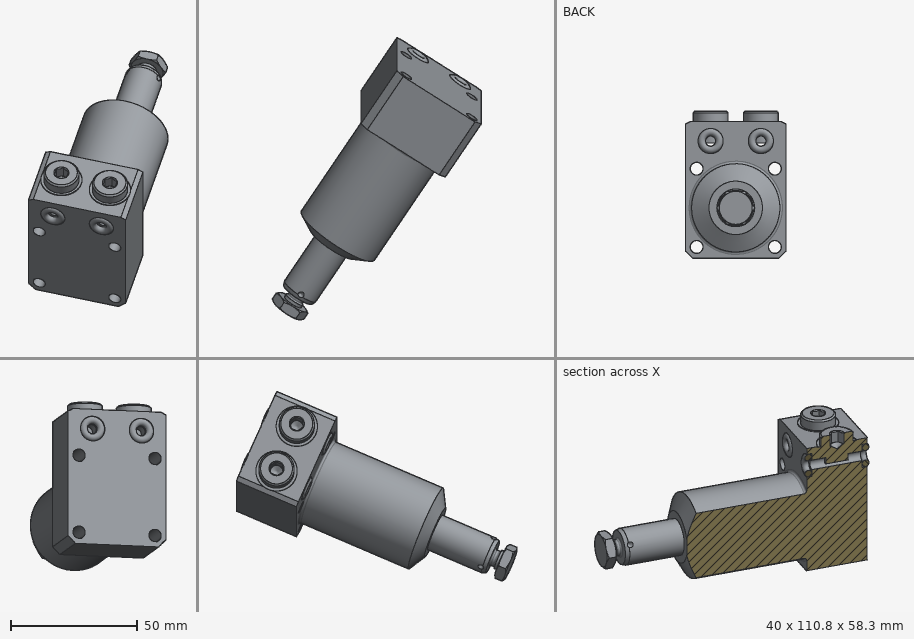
import cadquery as cq
import math


BLOCK_WIDTH = 40.0
BLOCK_DEPTH = 26.0
BLOCK_TOP = 34.2
BLOCK_BOTTOM = -20.0
BOTTOM_CHAMFER = 3.0
TOP_CHAMFER_WIDTH = 2.0
TOP_CHAMFER_HEIGHT = 1.0
MOUNT_HOLE_OFFSET = 15.5
MOUNT_HOLE_DIAMETER = 5.0

BARREL_RADIUS = 17.5
BARREL_ROOT_FILLET = 1.0
BARREL_LENGTH = 51.3
CONE_LENGTH = 4.0
CONE_HALF_ANGLE = 60
TUBE_DIAMETER = 15.0
TUBE_END = 76.2
TUBE_CHAMFER_LENGTH = 1.7
TUBE_CHAMFER_DEPTH = 0.5
DIMPLE_DIAMETER = 2.5
DIMPLE_INSET = 2.2
DIMPLE_ANGLES = (30, 150, 270)

SCREW_END = 84.0
HEAD_HEIGHT = 4.0
HEAD_ACROSS_FLATS = 13.1
HEAD_CORNER_SLOPE = 30
COLLAR_RADIUS = 4.0
COLLAR_LENGTH = 1.3
NECK_FILLET = 0.7

PORT_OFFSET = 10.0
PORT_HEIGHT = 26.5
RING_OUTER_RADIUS = 5.0
RING_SECTION_DIAMETER = 3.0
RING_PROTRUSION = 0.8
PLUG_HEAD_RADIUS = 7.0
PLUG_HEAD_CHAMFER = 0.7
PLUG_PROTRUSION = 4.1
PLUG_LENGTH = 12.6
PLUG_SHANK_RADIUS = 4.9
SPOTFACE_RADIUS = 8.2
SPOTFACE_DEPTH = 0.3
SOCKET_ACROSS_FLATS = 5.0
SOCKET_DEPTH = 5.0
SOCKET_ROTATION = 30
SOCKET_POINT_HEIGHT = 1.7
SOCKET_MOUTH_RADIUS = 3.0

TUBE_RADIUS = TUBE_DIAMETER / 2
NECK_RADIUS = COLLAR_RADIUS - NECK_FILLET
HEX_SIDES = 6
HEX_CORNER_RATIO = 1 / math.cos(math.pi / HEX_SIDES)
FILLET_MIDPOINT = 1 - math.sqrt(0.5)
RING_SECTION_RADIUS = RING_SECTION_DIAMETER / 2
PASSAGE_RADIUS = RING_OUTER_RADIUS - RING_SECTION_DIAMETER
RING_SEAT_DEPTH = RING_SECTION_DIAMETER - RING_PROTRUSION
PORT_XS = (-PORT_OFFSET, PORT_OFFSET)


def y_cylinder(x, z, y_start, y_end, radius):
    """Cylinder parallel to Y between two Y positions."""
    axis = cq.Vector(0, 1, 0)
    return cq.Workplane(cq.Solid.makeCylinder(radius, y_end - y_start, cq.Vector(x, y_start, z), axis))


def make_block():
    """Connection block with chamfered edges and four mounting holes."""
    half = BLOCK_WIDTH / 2
    right_side = [
        (half - BOTTOM_CHAMFER, BLOCK_BOTTOM),
        (half, BLOCK_BOTTOM + BOTTOM_CHAMFER),
        (half, BLOCK_TOP - TOP_CHAMFER_HEIGHT),
        (half - TOP_CHAMFER_WIDTH, BLOCK_TOP),
    ]
    left_side = [(-x, z) for x, z in reversed(right_side)]
    block = cq.Workplane("XZ").polyline(right_side + left_side).close().extrude(BLOCK_DEPTH)
    for x in (-MOUNT_HOLE_OFFSET, MOUNT_HOLE_OFFSET):
        for z in (-MOUNT_HOLE_OFFSET, MOUNT_HOLE_OFFSET):
            block = block.cut(y_cylinder(x, z, -BLOCK_DEPTH, 0, MOUNT_HOLE_DIAMETER / 2))
    return block


def make_turned_body():
    """Barrel, adjuster tube, screw neck and collar, revolved around the Y axis."""
    cone_end_radius = BARREL_RADIUS - CONE_LENGTH * math.tan(math.radians(CONE_HALF_ANGLE))
    head_base = SCREW_END - HEAD_HEIGHT
    collar_end = head_base - COLLAR_LENGTH
    root_mid = BARREL_ROOT_FILLET * FILLET_MIDPOINT
    neck_mid = NECK_FILLET * FILLET_MIDPOINT
    body = (
        cq.Workplane("XY")
        .lineTo(BARREL_RADIUS + BARREL_ROOT_FILLET, 0)
        .threePointArc((BARREL_RADIUS + root_mid, root_mid), (BARREL_RADIUS, BARREL_ROOT_FILLET))
        .lineTo(BARREL_RADIUS, BARREL_LENGTH - CONE_LENGTH)
        .lineTo(cone_end_radius, BARREL_LENGTH)
        .lineTo(TUBE_RADIUS, BARREL_LENGTH)
        .lineTo(TUBE_RADIUS, TUBE_END - TUBE_CHAMFER_LENGTH)
        .lineTo(TUBE_RADIUS - TUBE_CHAMFER_DEPTH, TUBE_END)
        .lineTo(COLLAR_RADIUS, TUBE_END)
        .threePointArc((NECK_RADIUS + neck_mid, TUBE_END + neck_mid), (NECK_RADIUS, TUBE_END + NECK_FILLET))
        .lineTo(NECK_RADIUS, collar_end - NECK_FILLET)
        .threePointArc((NECK_RADIUS + neck_mid, collar_end - neck_mid), (COLLAR_RADIUS, collar_end))
        .lineTo(COLLAR_RADIUS, head_base)
        .lineTo(0, head_base)
        .close()
        .revolve(360, (0, 0, 0), (0, 1, 0))
    )
    return body.cut(make_dimples())


def make_dimples():
    """Radial 90-degree conical dimples around the free end of the adjuster tube."""
    depth = DIMPLE_DIAMETER / 2
    dimples = cq.Workplane("XY")
    for angle in DIMPLE_ANGLES:
        inward = cq.Vector(-math.cos(math.radians(angle)), 0, -math.sin(math.radians(angle)))
        start = inward * -(TUBE_RADIUS + depth) + cq.Vector(0, TUBE_END - DIMPLE_INSET, 0)
        dimples = dimples.add(cq.Solid.makeCone(2 * depth, 0, 2 * depth, start, inward))
    return dimples.combine()


def make_screw_head():
    """Hexagon with corners on X, its corners bevelled at both ends."""
    head_base = SCREW_END - HEAD_HEIGHT
    face_radius = HEAD_ACROSS_FLATS / 2
    corner_radius = face_radius * HEX_CORNER_RATIO
    bevel = (corner_radius - face_radius) * math.tan(math.radians(HEAD_CORNER_SLOPE))
    hexagon = (
        cq.Workplane("XZ", origin=(0, SCREW_END, 0))
        .polygon(HEX_SIDES, 2 * corner_radius)
        .extrude(HEAD_HEIGHT)
    )
    envelope = (
        cq.Workplane("XY")
        .polyline([
            (0, head_base),
            (face_radius, head_base),
            (corner_radius, head_base + bevel),
            (corner_radius, SCREW_END - bevel),
            (face_radius, SCREW_END),
            (0, SCREW_END),
        ])
        .close()
        .revolve(360, (0, 0, 0), (0, 1, 0))
    )
    return hexagon.intersect(envelope)


def cut_ports(housing):
    """Two passages through the block, with an O-ring seat at each end and a spotface above."""
    front_seat_floor = RING_SEAT_DEPTH - BLOCK_DEPTH
    for x in PORT_XS:
        passage = y_cylinder(x, PORT_HEIGHT, -BLOCK_DEPTH, 0, PASSAGE_RADIUS)
        front_seat = y_cylinder(x, PORT_HEIGHT, -BLOCK_DEPTH, front_seat_floor, RING_OUTER_RADIUS)
        rear_seat = y_cylinder(x, PORT_HEIGHT, -RING_SEAT_DEPTH, 0, RING_OUTER_RADIUS)
        spotface = (
            cq.Workplane("XY", origin=(x, -BLOCK_DEPTH / 2, BLOCK_TOP - SPOTFACE_DEPTH))
            .circle(SPOTFACE_RADIUS)
            .extrude(2 * SPOTFACE_DEPTH)
        )
        housing = housing.cut(passage).cut(front_seat).cut(rear_seat).cut(spotface)
    return housing


def add_plug(housing, x):
    """Screw plug closing a port from above; its shank reaches into the passage."""
    top_plane = cq.Workplane("XY", origin=(x, -BLOCK_DEPTH / 2, BLOCK_TOP + PLUG_PROTRUSION))
    head_height = PLUG_PROTRUSION + SPOTFACE_DEPTH
    head = top_plane.circle(PLUG_HEAD_RADIUS).extrude(-head_height).faces(">Z").chamfer(PLUG_HEAD_CHAMFER)
    shank = top_plane.circle(PLUG_SHANK_RADIUS).extrude(-PLUG_LENGTH)
    return housing.union(head.union(shank)).cut(make_socket(top_plane))


def make_socket(top_plane):
    """Hexagon socket with a conical bottom and a countersunk mouth."""
    inner_radius = SOCKET_ACROSS_FLATS / 2
    corner_radius = inner_radius * HEX_CORNER_RATIO
    hexagon = (
        top_plane.transformed(rotate=(0, 0, SOCKET_ROTATION))
        .polygon(HEX_SIDES, 2 * corner_radius)
        .extrude(-SOCKET_DEPTH)
    )
    origin = top_plane.plane.origin
    down = cq.Vector(0, 0, -1)
    point_start = origin + down * SOCKET_DEPTH
    point = cq.Solid.makeCone(inner_radius, 0, SOCKET_POINT_HEIGHT, point_start, down)
    mouth_depth = SOCKET_MOUTH_RADIUS - inner_radius
    mouth = cq.Solid.makeCone(SOCKET_MOUTH_RADIUS, inner_radius, mouth_depth, origin, down)
    return hexagon.union(cq.Workplane(point)).union(cq.Workplane(mouth))


def make_housing():
    """Block, barrel, adjusting screw and plugs as one solid."""
    housing = make_block().union(make_turned_body()).union(make_screw_head())
    housing = cut_ports(housing)
    for x in PORT_XS:
        housing = add_plug(housing, x)
    return housing


def make_o_ring(x, y):
    """O-ring centred on a port axis, lying in a plane of constant Y."""
    mean_radius = RING_OUTER_RADIUS - RING_SECTION_RADIUS
    centre = cq.Vector(x, y, PORT_HEIGHT)
    return cq.Solid.makeTorus(mean_radius, RING_SECTION_RADIUS, centre, cq.Vector(0, 1, 0))


housing = make_housing()
rear_ring_y = RING_PROTRUSION - RING_SECTION_RADIUS
front_ring_y = -BLOCK_DEPTH - rear_ring_y
o_rings = [make_o_ring(x, y) for x in PORT_XS for y in (front_ring_y, rear_ring_y)]

result = cq.Compound.makeCompound([housing.solids().val(), *o_rings])